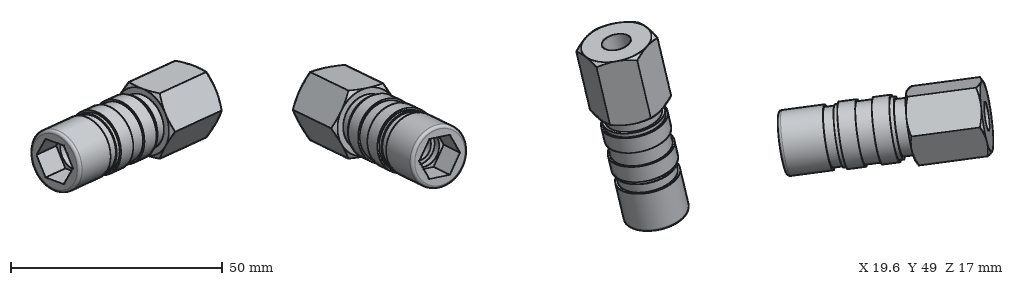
import cadquery as cq
import math

total_length = 49.0
front_y = -total_length / 2
back_y = total_length / 2

wrench_flats = 17.0
wrench_length = 18.0
wrench_corners = wrench_flats / math.cos(math.pi / 6)
chamfer_circle = wrench_flats
chamfer_angle = math.radians(30)
wrench_front_y = back_y - wrench_length

nose_diameter = 15.8
nose_edge_radius = 0.8
nose_length = 11.0
relief_diameter = 14.6
shoulder_diameter = 15.2
shoulder_width = 1.0
band_diameter = 16.2
front_band_start = 14.5
front_band_end = 18.8
rear_band_start = 22.8
rear_band_end = 27.0
neck_diameter = 13.8

body_steps = [
    (relief_diameter, front_band_start - shoulder_width),
    (shoulder_diameter, front_band_start),
    (band_diameter, front_band_end),
    (shoulder_diameter, rear_band_start),
    (band_diameter, rear_band_end),
    (shoulder_diameter, rear_band_end + shoulder_width),
    (neck_diameter, total_length - wrench_length),
]

socket_flats = 10.0
socket_corners = socket_flats / math.cos(math.pi / 6)
socket_depth = 7.0
counterbore_diameter = 9.0
counterbore_depth = 9.0
bore_diameter = 7.0


def section_at(y):
    """Workplane across the axis at the given Y; its normal points toward -Y."""
    return cq.Workplane("XZ", origin=(0, y, 0))


def cylinder(diameter, start_y, length):
    """Cylinder running from start_y toward +Y."""
    return section_at(start_y).circle(diameter / 2).extrude(-length)


def hexagon_bar(corners, start_y, length):
    """Hexagonal bar running from start_y toward +Y, with two corners on the X axis."""
    return section_at(start_y).polygon(6, corners).extrude(-length)


def chamfer_envelope():
    """Revolved blank whose conical ends chamfer the corners of the wrench hexagon."""
    face_radius = chamfer_circle / 2
    corner_radius = wrench_corners / 2
    chamfer_height = (corner_radius - face_radius) * math.tan(chamfer_angle)
    outline = [
        (0, wrench_front_y),
        (face_radius, wrench_front_y),
        (corner_radius, wrench_front_y + chamfer_height),
        (corner_radius, back_y - chamfer_height),
        (face_radius, back_y),
        (0, back_y),
    ]
    return cq.Workplane("XY").polyline(outline).close().revolve(360, (0, 0, 0), (0, 1, 0))


def wrench_hexagon():
    bar = hexagon_bar(wrench_corners, wrench_front_y, wrench_length)
    return bar.intersect(chamfer_envelope())


def round_body():
    """Stack of cylinders from the rounded nose back to the wrench hexagon."""
    body = cylinder(nose_diameter, front_y, nose_length)
    body = body.faces("<Y").edges().fillet(nose_edge_radius)
    start = nose_length
    for diameter, end in body_steps:
        body = body.union(cylinder(diameter, front_y + start, end - start))
        start = end
    return body


def inner_passage():
    socket = hexagon_bar(socket_corners, front_y, socket_depth)
    counterbore = cylinder(counterbore_diameter, front_y, counterbore_depth)
    bore = cylinder(bore_diameter, front_y, total_length)
    return socket.union(counterbore).union(bore)


result = round_body().union(wrench_hexagon()).cut(inner_passage())